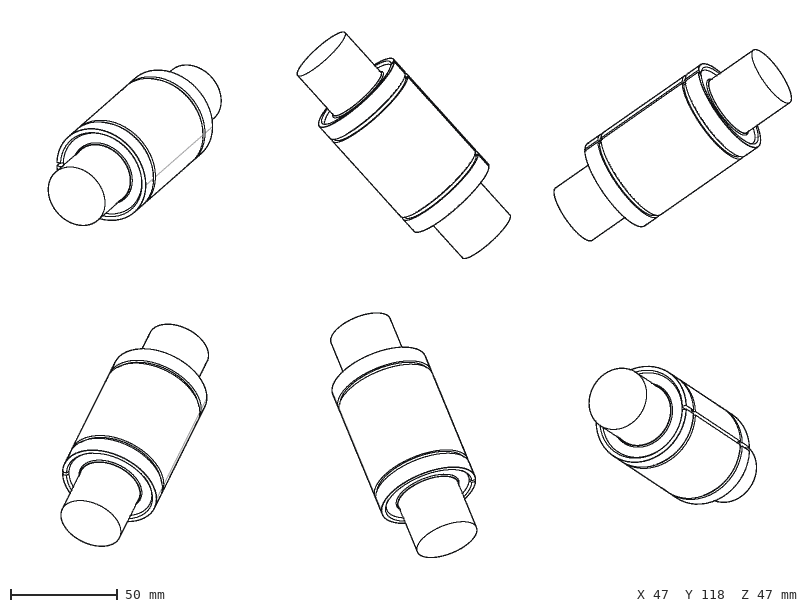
import cadquery as cq

shaft_length = 118.0
shaft_radius = 30.0 / 2
sleeve_length = 68.0
sleeve_radius = 47.0 / 2
sleeve_edge_chamfer = 0.1

groove_span = 52.2
groove_width = 1.9
groove_radius = 44.5 / 2

recess_depth = 1.3
recess_mouth_radius = 21.5
core_radius = 20.6
floor_y = sleeve_length / 2 - recess_depth

lip_height = 0.7
lip_base_radius = 15.7
lip_tip_radius = 15.2

slot_width = 1.8


def disc(radius, y_start, length):
    """Cylinder on the Y axis, reaching from y_start towards +Y."""
    plane = cq.Plane(origin=(0, y_start, 0), xDir=(1, 0, 0), normal=(0, 1, 0))
    return cq.Workplane(plane).circle(radius).extrude(length)


def revolve_about_y(profile):
    """Solid of revolution about the Y axis from (radius, y) points."""
    return cq.Workplane("XY").polyline(profile).close().revolve(360, (0, 0, 0), (0, 1, 0))


def make_sleeve():
    """Outer sleeve with two ring grooves, flared bore ends and the lengthwise slot."""
    half_length = sleeve_length / 2
    sleeve = disc(sleeve_radius, -half_length, sleeve_length)
    sleeve = sleeve.faces("<Y or >Y").edges().chamfer(sleeve_edge_chamfer)

    for y_start in (-groove_span / 2, groove_span / 2 - groove_width):
        ring = disc(sleeve_radius, y_start, groove_width)
        ring = ring.cut(disc(groove_radius, y_start, groove_width))
        sleeve = sleeve.cut(ring)

    bore_profile = [
        (0, -half_length),
        (recess_mouth_radius, -half_length),
        (core_radius, -floor_y),
        (core_radius, floor_y),
        (recess_mouth_radius, half_length),
        (0, half_length),
    ]
    bore = revolve_about_y(bore_profile)

    slot = cq.Workplane("XY").box(sleeve_radius, sleeve_length, slot_width)
    slot = slot.translate((-sleeve_radius / 2, 0, 0))
    return sleeve.cut(bore).cut(slot)


def make_core():
    """Solid body inside the sleeve, with a tapered lip around the shaft at each end."""
    lip_y = floor_y + lip_height
    profile = [
        (0, -lip_y),
        (lip_tip_radius, -lip_y),
        (lip_base_radius, -floor_y),
        (core_radius, -floor_y),
        (core_radius, floor_y),
        (lip_base_radius, floor_y),
        (lip_tip_radius, lip_y),
        (0, lip_y),
    ]
    return revolve_about_y(profile)


shaft = disc(shaft_radius, -shaft_length / 2, shaft_length)
result = make_sleeve().union(make_core()).union(shaft)